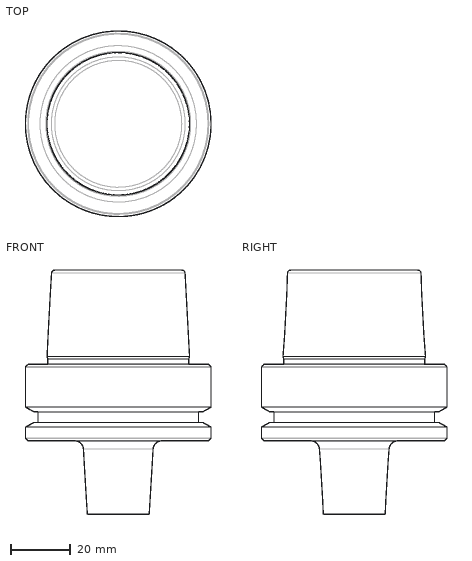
import cadquery as cq

total_height = 82.9
flange_bottom = 24.95
flange_top = 51.0

stem_tip_radius = 10.5
stem_root_radius = 12.0
stem_tip_chamfer = 0.4
stem_root_fillet = 2.9

flange_radius = 31.5
flange_chamfer = 0.9
flange_edge_rounding = 0.4
groove_bottom = 29.7
groove_top = 36.4
groove_wall_height = 1.6
groove_wall_depth = 2.8
groove_core_radius = 27.3

relief_radius = 26.5
relief_depth = 0.6

neck_radius = 23.95
neck_foot_fillet = 0.5
neck_top = 52.8
shank_base = 53.55
shank_base_radius = 24.2
shank_top_radius = 22.6
shank_top_fillet = 1.2

groove_lip_radius = flange_radius - groove_wall_depth
flange_face_radius = flange_radius - flange_chamfer
neck_bottom = flange_top - relief_depth


def make_stem():
    """Tapered stem standing on the tip, ending at the flange underside."""
    profile = (
        cq.Workplane("XZ")
        .lineTo(stem_tip_radius, 0)
        .lineTo(stem_root_radius, flange_bottom)
        .lineTo(0, flange_bottom)
        .close()
    )
    stem = profile.revolve(360, (0, 0), (0, 1))
    return stem.faces("<Z").edges().chamfer(stem_tip_chamfer, stem_tip_chamfer / 2)


def make_flange():
    """Chamfered disc with the gripper groove and the relief cone."""
    profile = (
        cq.Workplane("XZ")
        .moveTo(0, flange_bottom)
        .lineTo(flange_face_radius, flange_bottom)
        .lineTo(flange_radius, flange_bottom + flange_chamfer)
        .lineTo(flange_radius, groove_bottom)
        .lineTo(groove_lip_radius, groove_bottom + groove_wall_height)
        .lineTo(groove_core_radius, groove_bottom + groove_wall_height)
        .lineTo(groove_core_radius, groove_top - groove_wall_height)
        .lineTo(groove_lip_radius, groove_top - groove_wall_height)
        .lineTo(flange_radius, groove_top)
        .lineTo(flange_radius, flange_top - flange_chamfer)
        .lineTo(flange_face_radius, flange_top)
        .lineTo(relief_radius, flange_top)
        .lineTo(neck_radius, neck_bottom)
        .lineTo(0, neck_bottom)
        .close()
    )
    return profile.revolve(360, (0, 0), (0, 1))


def make_shank():
    """Straight neck, a short flare and the tapered shank with a rounded top."""
    profile = (
        cq.Workplane("XZ")
        .moveTo(0, neck_bottom)
        .lineTo(neck_radius, neck_bottom)
        .lineTo(neck_radius, neck_top)
        .lineTo(shank_base_radius, shank_base)
        .lineTo(shank_top_radius, total_height)
        .lineTo(0, total_height)
        .close()
    )
    shank = profile.revolve(360, (0, 0), (0, 1))
    return shank.faces(">Z").edges().fillet(shank_top_fillet)


def circles_at(solid, radius, height):
    """Circular edges of the given radius lying at the given height."""
    tolerance = 0.01

    def matches(edge):
        return (
            edge.geomType() == "CIRCLE"
            and abs(edge.radius() - radius) < tolerance
            and abs(edge.Center().z - height) < tolerance
        )

    return solid.edges().filter(matches)


def round_flange_chamfers(flange):
    """Soften both edges of the upper and lower flange chamfers."""
    chamfer_edges = (
        (flange_face_radius, flange_bottom),
        (flange_radius, flange_bottom + flange_chamfer),
        (flange_radius, flange_top - flange_chamfer),
        (flange_face_radius, flange_top),
    )
    for radius, height in chamfer_edges:
        flange = circles_at(flange, radius, height).fillet(flange_edge_rounding)
    return flange


flange = round_flange_chamfers(make_flange())
body = make_stem().union(flange).union(make_shank())
body = circles_at(body, stem_root_radius, flange_bottom).fillet(stem_root_fillet)
result = circles_at(body, neck_radius, neck_bottom).fillet(neck_foot_fillet)